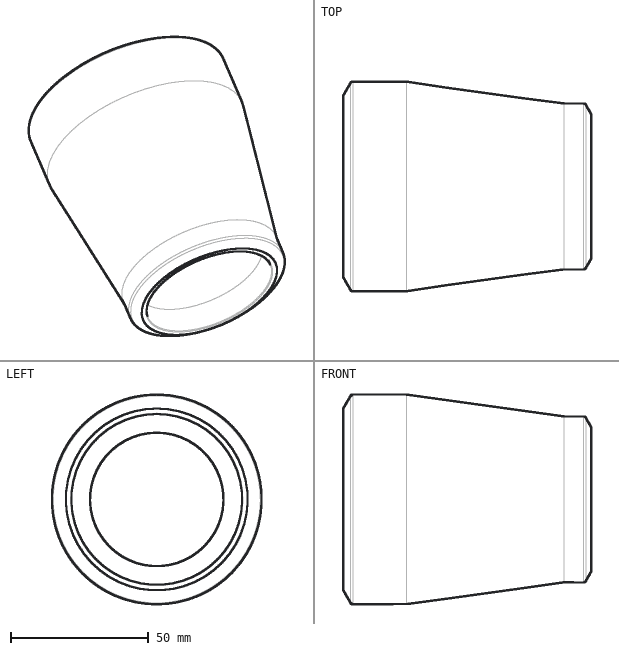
import cadquery as cq
import math

length = 90.0
large_diameter = 76.1
large_bore = 61.9
small_diameter = 60.3
small_bore = 48.3

large_outer_straight = 23.0
large_bore_straight = 15.0
small_straight = 10.0

land = 2.0
bevel_angle = 30.0
bevel_edge_radius = 1.0
bore_edge_radius = 0.3

edge_tolerance = 0.01

large_outer_radius = large_diameter / 2
small_outer_radius = small_diameter / 2
large_bore_radius = large_bore / 2
small_bore_radius = small_bore / 2
large_land_radius = large_bore_radius + land
small_land_radius = small_bore_radius + land
taper_end = length - small_straight


def bevel_length(outer_radius, land_radius):
    """Axial length of the bevel between the flat ring and the outside."""
    return (outer_radius - land_radius) * math.tan(math.radians(bevel_angle))


large_bevel_end = bevel_length(large_outer_radius, large_land_radius)
small_bevel_start = length - bevel_length(small_outer_radius, small_land_radius)


def make_wall():
    """Revolve the wall section (X along the axis, Z radial) about the X axis."""
    section = (
        cq.Workplane("XZ")
        .moveTo(0, large_bore_radius)
        .lineTo(0, large_land_radius)
        .lineTo(large_bevel_end, large_outer_radius)
        .lineTo(large_outer_straight, large_outer_radius)
        .lineTo(taper_end, small_outer_radius)
        .lineTo(small_bevel_start, small_outer_radius)
        .lineTo(length, small_land_radius)
        .lineTo(length, small_bore_radius)
        .lineTo(taper_end, small_bore_radius)
        .lineTo(large_bore_straight, large_bore_radius)
        .close()
    )
    return section.revolve(360, (0, 0, 0), (1, 0, 0))


def round_circle(body, axial_position, circle_radius, fillet_radius):
    """Round the circular edge of the given radius at one position along the axis."""
    edges = [
        edge
        for edge in body.edges("%CIRCLE").vals()
        if abs(edge.Center().x - axial_position) < edge_tolerance
        and abs(edge.radius() - circle_radius) < edge_tolerance
    ]
    return body.newObject(edges).fillet(fillet_radius)


result = make_wall()
result = round_circle(result, large_bevel_end, large_outer_radius, bevel_edge_radius)
result = round_circle(result, small_bevel_start, small_outer_radius, bevel_edge_radius)
result = round_circle(result, 0, large_bore_radius, bore_edge_radius)
result = round_circle(result, length, small_bore_radius, bore_edge_radius)